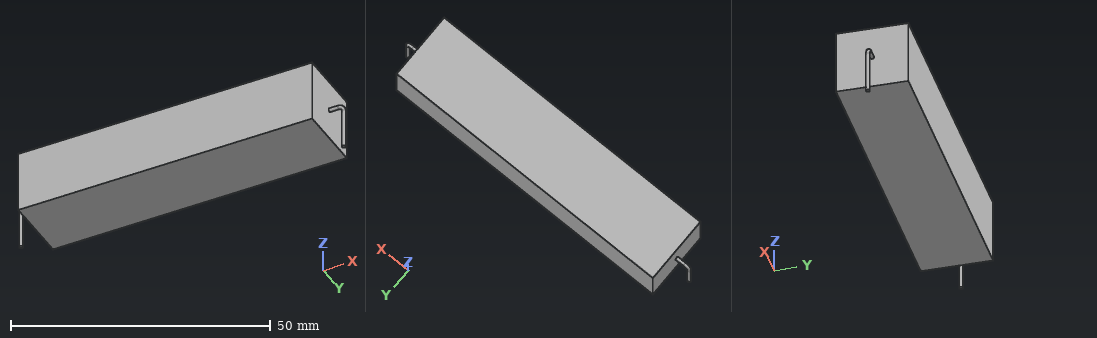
import cadquery as cq

overall_length = 71.0
overall_height = 16.55

housing_length = 64.0
housing_width = 14.5
housing_height = 13.5

lead_diameter = 0.8
lead_bend_radius = 1.2
lead_axis_height = housing_height / 2
lead_leg_x = (overall_length - lead_diameter) / 2
lead_tip_z = housing_height - overall_height


def make_housing():
    """Plain rectangular block."""
    return cq.Workplane("XY").box(
        housing_length, housing_width, housing_height, centered=(True, True, False)
    )


def make_lead(side):
    """Bent wire on the +X end (side = 1) or the -X end (side = -1)."""
    end_face_x = side * housing_length / 2
    leg_x = side * lead_leg_x
    bend_start_x = leg_x - side * lead_bend_radius
    bend_end_z = lead_axis_height - lead_bend_radius
    path = (
        cq.Workplane("XZ")
        .moveTo(end_face_x, lead_axis_height)
        .lineTo(bend_start_x, lead_axis_height)
        .tangentArcPoint((leg_x, bend_end_z), relative=False)
        .lineTo(leg_x, lead_tip_z)
    )
    return (
        cq.Workplane("YZ", origin=(end_face_x, 0, lead_axis_height))
        .circle(lead_diameter / 2)
        .sweep(path)
    )


housing = make_housing()
leads = [make_lead(side) for side in (-1, 1)]

result = cq.Compound.makeCompound([housing.val(), *[lead.val() for lead in leads]])